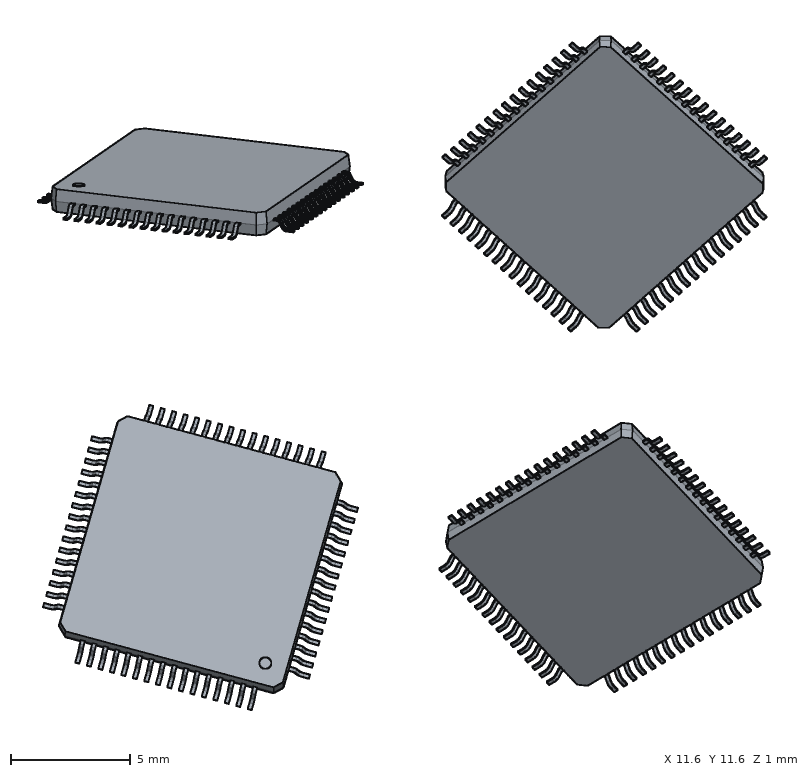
import cadquery as cq
import math

BODY_WIDTH = 9.8
BODY_HEIGHT = 1.0
PARTING_Z = 0.49
CORNER_CHAMFER = 0.35
DRAFT_ANGLE = 6.8

MARK_DIAMETER = 0.5
MARK_DEPTH = 0.08
MARK_OFFSET = 3.91

LEADS_PER_SIDE = 16
LEAD_PITCH = 0.5
LEAD_WIDTH = 0.18
LEAD_THICKNESS = 0.07
SPAN_X = 11.58
SPAN_Y = 11.57
FOOT_LENGTH = 0.28
LEG_ANGLE = math.radians(62)
FOOT_BEND_RADIUS = 0.21
SHOULDER_BEND_RADIUS = 0.08
LEAD_EMBED = 0.3


def make_body():
    """Chamfered square body with drafted upper and lower halves."""

    def half(height):
        outline = (
            cq.Sketch()
            .rect(BODY_WIDTH, BODY_WIDTH)
            .vertices()
            .chamfer(CORNER_CHAMFER)
        )
        plane = cq.Workplane("XY", origin=(0, 0, PARTING_Z))
        return plane.placeSketch(outline).extrude(height, taper=DRAFT_ANGLE)

    upper = half(BODY_HEIGHT - PARTING_Z)
    lower = half(PARTING_Z).mirror("XY", (0, 0, PARTING_Z))
    return upper.union(lower)


def make_mark():
    """Cutter for the pin-one dimple in the top face."""
    floor = BODY_HEIGHT - MARK_DEPTH
    return (
        cq.Workplane("XY", origin=(-MARK_OFFSET, -MARK_OFFSET, floor))
        .circle(MARK_DIAMETER / 2)
        .extrude(MARK_DEPTH)
    )


def point_on_arc(center, radius, angle):
    """Point at an angle measured clockwise from straight down, with X right and Z up."""
    return (center[0] - radius * math.sin(angle), center[1] - radius * math.cos(angle))


def make_lead(tip):
    """Lead on the +X side, centred on Y = 0, with its foot ending at X = tip."""
    foot_inner = FOOT_BEND_RADIUS
    foot_outer = FOOT_BEND_RADIUS + LEAD_THICKNESS
    shoulder_inner = SHOULDER_BEND_RADIUS
    shoulder_outer = SHOULDER_BEND_RADIUS + LEAD_THICKNESS

    foot_end = tip - FOOT_LENGTH
    foot_center = (foot_end, foot_outer)
    shoulder_center_z = PARTING_Z - shoulder_outer
    center_gap = foot_inner + shoulder_outer
    leg_rise = shoulder_center_z - foot_center[1] + center_gap * math.cos(LEG_ANGLE)
    leg_run = leg_rise / math.tan(LEG_ANGLE)
    shoulder_center = (foot_end - center_gap * math.sin(LEG_ANGLE) - leg_run, shoulder_center_z)

    def foot_arc(radius, fraction):
        return point_on_arc(foot_center, radius, fraction * LEG_ANGLE)

    def shoulder_arc(radius, fraction):
        return point_on_arc(shoulder_center, radius, math.pi + fraction * LEG_ANGLE)

    root = BODY_WIDTH / 2 - LEAD_EMBED
    profile = (
        cq.Workplane("XZ")
        .moveTo(tip, 0)
        .lineTo(*foot_arc(foot_outer, 0))
        .threePointArc(foot_arc(foot_outer, 0.5), foot_arc(foot_outer, 1))
        .lineTo(*shoulder_arc(shoulder_inner, 1))
        .threePointArc(shoulder_arc(shoulder_inner, 0.5), shoulder_arc(shoulder_inner, 0))
        .lineTo(root, PARTING_Z - LEAD_THICKNESS)
        .lineTo(root, PARTING_Z)
        .lineTo(*shoulder_arc(shoulder_outer, 0))
        .threePointArc(shoulder_arc(shoulder_outer, 0.5), shoulder_arc(shoulder_outer, 1))
        .lineTo(*foot_arc(foot_inner, 1))
        .threePointArc(foot_arc(foot_inner, 0.5), foot_arc(foot_inner, 0))
        .lineTo(tip, LEAD_THICKNESS)
        .close()
    )
    return profile.extrude(LEAD_WIDTH / 2, both=True)


def make_leads():
    """One row of evenly spaced leads on each of the four sides."""
    first = -LEAD_PITCH * (LEADS_PER_SIDE - 1) / 2
    leads = []
    for quarter_turn in range(4):
        span = SPAN_X if quarter_turn % 2 == 0 else SPAN_Y
        lead = make_lead(span / 2)
        for index in range(LEADS_PER_SIDE):
            placed = lead.translate((0, first + index * LEAD_PITCH, 0))
            leads.append(placed.rotate((0, 0, 0), (0, 0, 1), 90 * quarter_turn).val())
    return leads


body = make_body().cut(make_mark())
result = cq.Workplane(body.val().fuse(*make_leads()))